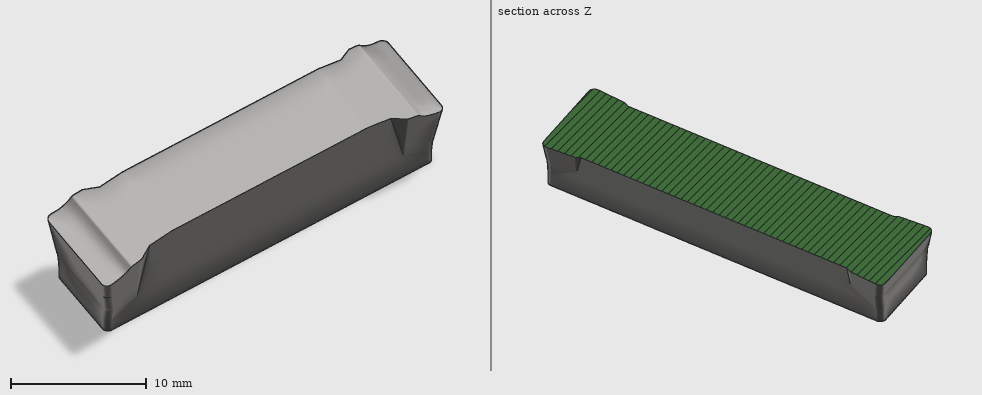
import cadquery as cq
import math


half_length = 30.15 / 2
height = 8.08
body_half_width = 3.31
head_half_width = 4.0

edge_height = 6.405
end_clearance = math.radians(7)
clearance_bottom = 2.84
blend_height = 0.45
blend_radius = 1.5
corner_radius = 0.5

land_length = 0.92
ramp_angle = math.radians(10)
wall_angle = math.radians(45)
groove_radius = 2.5
crest_radius = 0.5

side_clearance = math.radians(7)
back_relief = math.radians(4)
neck_angle = math.radians(30)
break_y = 11.83
break_radius = 0.2
neck_overlap = 2.0

select_margin = 0.01


def arc_point(center, radius, angle):
    """Point on an arc whose normal leans the given angle away from Z."""
    return (center[0] + radius * math.sin(angle), center[1] + radius * math.cos(angle))


def make_profile():
    """Side profile in YZ, one half mirrored, extruded wider than the heads."""
    blend_start = (half_length - (edge_height - clearance_bottom) * math.tan(end_clearance), clearance_bottom)
    blend_angle = math.asin(blend_height / blend_radius)
    blend_drop = blend_radius * (1 - math.cos(blend_angle))
    blend_end = (blend_start[0] - blend_drop, clearance_bottom - blend_height)
    blend_mid = (
        blend_end[0] + blend_radius * (1 - math.cos(blend_angle / 2)),
        blend_end[1] + blend_radius * math.sin(blend_angle / 2),
    )

    land_end = (half_length - land_length, edge_height + land_length * math.tan(ramp_angle))
    groove_center = (
        land_end[0] + groove_radius * math.sin(ramp_angle),
        land_end[1] + groove_radius * math.cos(ramp_angle),
    )
    mid_angle = (ramp_angle + wall_angle) / 2
    groove_mid = arc_point(groove_center, -groove_radius, mid_angle)
    groove_end = arc_point(groove_center, -groove_radius, wall_angle)
    crest_center = arc_point(groove_center, -(groove_radius + crest_radius), wall_angle)
    crest_mid = arc_point(crest_center, crest_radius, mid_angle)
    crest_end = arc_point(crest_center, crest_radius, ramp_angle)
    ramp_end_y = crest_end[0] - (height - crest_end[1]) / math.tan(ramp_angle)

    half = (
        cq.Workplane("YZ")
        .moveTo(0, 0)
        .lineTo(blend_end[0], 0)
        .lineTo(*blend_end)
        .threePointArc(blend_mid, blend_start)
        .lineTo(half_length, edge_height)
        .lineTo(*land_end)
        .threePointArc(groove_mid, groove_end)
        .threePointArc(crest_mid, crest_end)
        .lineTo(ramp_end_y, height)
        .lineTo(0, height)
        .close()
        .extrude(head_half_width + corner_radius, both=True)
    )
    return half.union(half.mirror("XZ"))


def head_section(z):
    """Plan outline of one head at height z: relieved flanks, then the neck."""
    corner_y = half_length - corner_radius
    corner_height = edge_height + corner_radius * math.tan(ramp_angle)
    break_x = (
        head_half_width
        - (corner_y - break_y) * math.tan(back_relief)
        - (corner_height - z) * math.tan(side_clearance)
    )
    end_x = break_x + (half_length - break_y) * math.tan(back_relief)
    neck_x = break_x - neck_overlap * math.tan(neck_angle)
    neck_y = break_y - neck_overlap
    right_side = [(neck_x, neck_y), (break_x, break_y), (end_x, half_length)]
    left_side = [(-x, y) for x, y in reversed(right_side)]
    return right_side + left_side


def make_head():
    """Tapered block that widens one end of the body."""
    head = (
        cq.Workplane("XY")
        .polyline(head_section(0))
        .close()
        .workplane(offset=height)
        .polyline(head_section(height))
        .close()
        .loft(ruled=True)
    )
    break_edges = cq.selectors.BoxSelector(
        (-2 * head_half_width, break_y - select_margin, 0),
        (2 * head_half_width, break_y + select_margin, height),
    )
    return head.edges(break_edges).fillet(break_radius)


def make_insert():
    head = make_head()
    body = cq.Workplane("XY").box(
        2 * body_half_width, 2 * half_length, height, centered=(True, True, False)
    )
    plan = body.union(head).union(head.mirror("XZ"))
    return make_profile().intersect(plan)


def round_corners(insert):
    """Round the upright edges between the end faces and the sides."""
    inner_x = body_half_width - select_margin
    inner_y = half_length - 2 * corner_radius
    outer_x = 2 * head_half_width
    outer_y = 2 * half_length
    corner_edges = []
    for side in (1, -1):
        for end in (1, -1):
            near = (side * inner_x, end * inner_y, 0)
            far = (side * outer_x, end * outer_y, edge_height)
            corner_edges += insert.edges(cq.selectors.BoxSelector(near, far)).vals()
    return insert.newObject(corner_edges).fillet(corner_radius)


result = round_corners(make_insert())